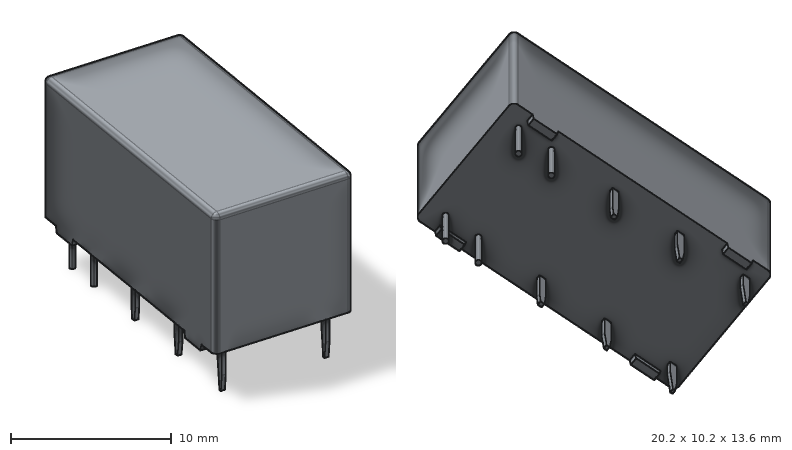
import cadquery as cq

body_length = 20.2
body_width = 10.2
body_height = 10.1
edge_radius = 0.4

foot_centre_x = 7.55
foot_root_length = 2.0
foot_end_length = 1.82
foot_height = 0.48
foot_depth = 0.57

pin_length = 3.5
row_spacing = 7.62
pin_root = 0.2

round_pin_diameter = 0.4
round_pin_positions = (-8.69, -6.15)

blade_thickness = 0.3
narrow_blade_width = 0.46
wide_blade_width = 0.53
blade_pins = (
    (-1.27, narrow_blade_width, (2.52, 0.08), (2.52, 0.08)),
    (3.8, wide_blade_width, (1.92, 0.16), (2.42, 0.12)),
    (8.89, wide_blade_width, (1.25, 0.22), (2.26, 0.12)),
)


def make_body():
    block = cq.Workplane("XY").box(body_length, body_width, body_height, centered=(True, True, False))
    return block.edges("|Z or >Z").fillet(edge_radius)


def make_foot(centre_x, side):
    """Trapezoidal foot whose outer face is flush with the body; side is -1 or 1 along Y."""
    outline = [
        (centre_x - foot_root_length / 2, 0),
        (centre_x - foot_end_length / 2, -foot_height),
        (centre_x + foot_end_length / 2, -foot_height),
        (centre_x + foot_root_length / 2, 0),
    ]
    centre_y = side * (body_width - foot_depth) / 2
    foot = cq.Workplane("XZ").polyline(outline).close().extrude(foot_depth / 2, both=True)
    return foot.translate((0, centre_y, 0))


def make_round_pin(x, y):
    pin = cq.Workplane("XY").circle(round_pin_diameter / 2).extrude(pin_length + pin_root)
    return pin.translate((x, y, -pin_length))


def make_blade_pin(y, x, width, left_taper, right_taper):
    """Flat pin; each taper is (depth below the body where it starts, inset at the tip)."""
    left_start, left_inset = left_taper
    right_start, right_inset = right_taper
    left = x - width / 2
    right = x + width / 2
    outline = [
        (left, pin_root),
        (left, -left_start),
        (left + left_inset, -pin_length),
        (right - right_inset, -pin_length),
        (right, -right_start),
        (right, pin_root),
    ]
    pin = cq.Workplane("XZ").polyline(outline).close().extrude(blade_thickness / 2, both=True)
    return pin.translate((0, y, 0))


result = make_body()
for side in (-1, 1):
    row_y = side * row_spacing / 2
    for foot_x in (-foot_centre_x, foot_centre_x):
        result = result.union(make_foot(foot_x, side))
    for pin_x in round_pin_positions:
        result = result.union(make_round_pin(pin_x, row_y))

    for blade in blade_pins:
        result = result.union(make_blade_pin(row_y, *blade))

result = result.translate((0, 0, (pin_length - body_height) / 2))